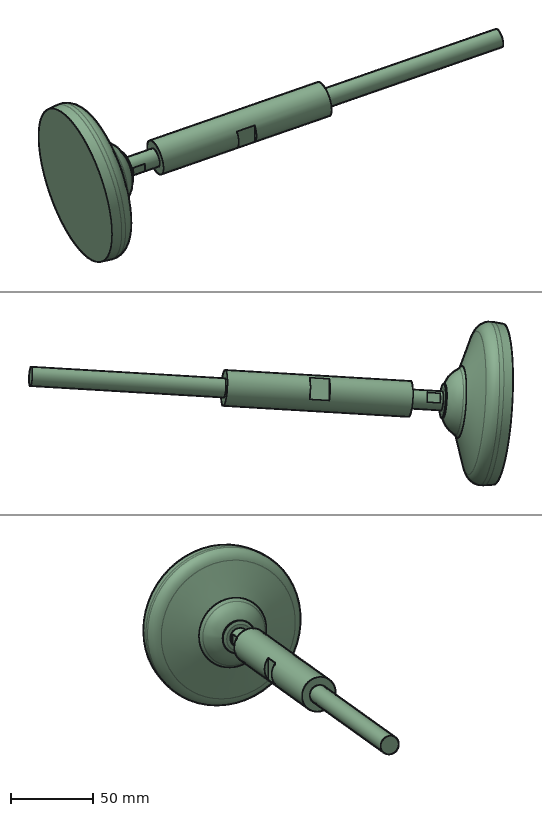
import cadquery as cq


TOTAL_LENGTH = 290.0

FOOT_RADIUS = 50.02
SOLE_RADIUS = 49.3
RIM_BOTTOM = 6.0
RIM_TOP = 8.7
SHOULDER_RADIUS = 43.8
SHOULDER_Y = 16.0
SHOULDER_BULGE = -1.5
NECK_RADIUS = 22.0
NECK_Y = 23.8
DOME_RADIUS = 20.3
DOME_Y = 25.5
DOME_BULGE = -1.3
LIP_RADIUS = 10.5
LIP_Y = 33.5
LIP_TOP_Y = 34.5
FOOT_TOP_RADIUS = 8.5
FOOT_HEIGHT = 35.0

ROD_DIAMETER = 12.0
ROD_FLAT_WIDTH = 10.2
ROD_FLAT_LENGTH = 8.0
ROD_FLAT_GAP = 1.7
ROD_FLAT_START = FOOT_HEIGHT + ROD_FLAT_GAP

SLEEVE_DIAMETER = 22.0
SLEEVE_START = 54.8
SLEEVE_LENGTH = 115.0
SLEEVE_FLAT_WIDTH = 17.0
SLEEVE_FLAT_LENGTH = 12.2
SLEEVE_FLAT_START = SLEEVE_START + (SLEEVE_LENGTH - SLEEVE_FLAT_LENGTH) / 2


def cylinder(diameter, start, length):
    """Cylinder along +Y beginning at y = start."""
    base = cq.Workplane("XZ", origin=(0, start, 0))
    return base.circle(diameter / 2).extrude(-length)


def cut_wrench_flats(body, diameter, width, start, length):
    """Cut two opposite flats, facing -X and +X, leaving the given width between them."""
    for side in (-1, 1):
        cutter = cq.Workplane("XY").box(diameter, length, 2 * diameter)
        cutter = cutter.translate((side * (width + diameter) / 2, start + length / 2, 0))
        body = body.cut(cutter)
    return body


def make_foot():
    """Revolve the foot's half profile (radius, y) around the Y axis."""
    return (
        cq.Workplane("XY")
        .lineTo(SOLE_RADIUS, 0)
        .lineTo(FOOT_RADIUS, RIM_BOTTOM)
        .lineTo(FOOT_RADIUS, RIM_TOP)
        .sagittaArc((SHOULDER_RADIUS, SHOULDER_Y), SHOULDER_BULGE)
        .lineTo(NECK_RADIUS, NECK_Y)
        .lineTo(DOME_RADIUS, DOME_Y)
        .sagittaArc((LIP_RADIUS, LIP_Y), DOME_BULGE)
        .lineTo(LIP_RADIUS, LIP_TOP_Y)
        .lineTo(FOOT_TOP_RADIUS, FOOT_HEIGHT)
        .lineTo(0, FOOT_HEIGHT)
        .close()
        .revolve(360, (0, 0, 0), (0, 1, 0))
    )


def make_rod():
    """Rod from the top of the foot through the sleeve, with wrench flats near the foot."""
    rod = cylinder(ROD_DIAMETER, FOOT_HEIGHT, TOTAL_LENGTH - FOOT_HEIGHT)
    return cut_wrench_flats(rod, ROD_DIAMETER, ROD_FLAT_WIDTH, ROD_FLAT_START, ROD_FLAT_LENGTH)


def make_sleeve():
    """Sleeve with a through bore for the rod and wrench flats at mid-length."""
    sleeve = cylinder(SLEEVE_DIAMETER, SLEEVE_START, SLEEVE_LENGTH)
    sleeve = sleeve.cut(cylinder(ROD_DIAMETER, SLEEVE_START, SLEEVE_LENGTH))
    return cut_wrench_flats(
        sleeve, SLEEVE_DIAMETER, SLEEVE_FLAT_WIDTH, SLEEVE_FLAT_START, SLEEVE_FLAT_LENGTH
    )


foot = make_foot()
rod = make_rod()
sleeve = make_sleeve()

result = cq.Compound.makeCompound([foot.val(), rod.val(), sleeve.val()])